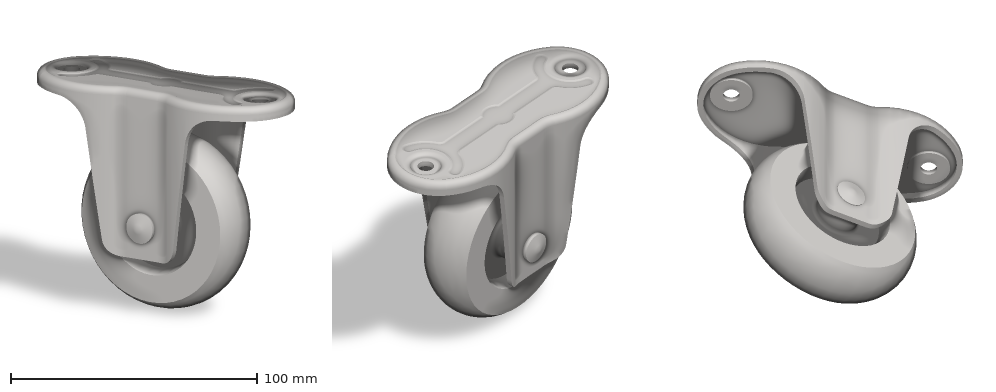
import cadquery as cq
import math

PLATE_HALF_LENGTH = 58.0
PLATE_HALF_WIDTH = 24.0
WAIST_HALF_WIDTH = 18.5
END_RADIUS = 20.9
FLANK_RADIUS = 33.6
NECK_RADIUS = 10.0

WALL = 2.4
SKIRT_HEIGHT = 5.9
TOP_FILLET = 3.0

PANEL_INSET = 3.1
PANEL_DEPTH = 0.3
PANEL_BEVEL = 0.7
HOLE_X = 45.0
HOLE_RADIUS = 3.4
DISH_TOP_RADIUS = 8.7
DISH_FLOOR_RADIUS = 6.1
DISH_DEPTH = 1.3
EMBOSS_DEPTH = 0.3
EMBOSS_BEVEL = 1.0
STRIP_HALF_WIDTH = 4.6
DISC_RADIUS = 7.1
ARM_INNER_RADIUS = 10.1
ARM_OUTER_RADIUS = 15.8
ARM_END_ANGLE = 73.0
ARM_CORNER_RADIUS = 2.3

LEG_BOTTOM_Z = -71.0
LEG_BOTTOM_HALF_WIDTH = 16.0
LEG_TOP_HALF_WIDTH = 25.5
LEG_TOP_RADIUS = 13.9
LEG_CORNER_RADIUS = 8.0

TOTAL_HEIGHT = 95.0
WHEEL_RADIUS = 37.5
WHEEL_Z = WHEEL_RADIUS - TOTAL_HEIGHT
WHEEL_HALF_WIDTH = 11.4
SIDE_RADIUS = 33.0
RECESS_RADIUS = 21.6
RECESS_FLOOR_RADIUS = 19.8
RECESS_DEPTH = 6.5
HUB_RADIUS = 9.4
HUB_HALF_LENGTH = 15.7
HUB_ROOT_FILLET = 1.5
HUB_EDGE_FILLET = 1.0

AXLE_RADIUS = 4.1
HEAD_RADIUS = 6.3
FRONT_RIM_Y = -20.4
FRONT_TIP_Y = -22.5
BACK_RIM_Y = 19.0
BACK_TIP_Y = 20.6

PANEL_Z = -PANEL_DEPTH
DISH_FLOOR_Z = PANEL_Z - DISH_DEPTH


def point_at(center, radius, angle):
    """Point on a circle at an angle in radians."""
    return (center[0] + radius * math.cos(angle), center[1] + radius * math.sin(angle))


def turned(point, sign_x, sign_y):
    """Copy of a point in the quarter given by the two signs."""
    return (sign_x * point[0], sign_y * point[1])


def plate_outline(z, inset=0.0):
    """Closed two-lobed outline at height z, moved inward by inset."""
    end_r = END_RADIUS - inset
    flank_r = FLANK_RADIUS - inset
    neck_r = NECK_RADIUS + inset
    end_c = (PLATE_HALF_LENGTH - END_RADIUS, 0.0)
    flank_y = PLATE_HALF_WIDTH - FLANK_RADIUS
    flank_x = end_c[0] - math.sqrt((FLANK_RADIUS - END_RADIUS) ** 2 - flank_y ** 2)
    neck_y = WAIST_HALF_WIDTH + NECK_RADIUS
    neck_x = flank_x - math.sqrt((FLANK_RADIUS + NECK_RADIUS) ** 2 - (neck_y - flank_y) ** 2)

    end_joint = point_at(end_c, end_r, math.atan2(-flank_y, end_c[0] - flank_x))
    flank_top = (flank_x, flank_y + flank_r)
    to_neck = math.atan2(neck_y - flank_y, neck_x - flank_x)
    flank_joint = point_at((flank_x, flank_y), flank_r, to_neck)
    neck_mid = point_at((neck_x, neck_y), neck_r, (to_neck - math.pi - math.pi / 2) / 2)
    neck_end = (neck_x, neck_y - neck_r)
    end_tip = (end_c[0] + end_r, 0)

    outline = cq.Workplane("XY", origin=(0, 0, z)).moveTo(*turned(end_joint, 1, -1))
    for side in (1, -1):
        outline = (
            outline
            .threePointArc(turned(end_tip, side, side), turned(end_joint, side, side))
            .threePointArc(turned(flank_top, side, side), turned(flank_joint, side, side))
            .threePointArc(turned(neck_mid, side, side), turned(neck_end, side, side))
            .lineTo(*turned(neck_end, -side, side))
            .threePointArc(turned(neck_mid, -side, side), turned(flank_joint, -side, side))
            .threePointArc(turned(flank_top, -side, side), turned(end_joint, -side, side))
        )
    return outline.close()


def emboss_outline(z, inset=0.0):
    """Bone shape at height z: central disc, lengthwise strip and a C-shaped arm round each hole."""
    inner_r = ARM_INNER_RADIUS + inset
    outer_r = ARM_OUTER_RADIUS - inset
    middle_r = (inner_r + outer_r) / 2
    disc_r = DISC_RADIUS - inset
    strip_y = STRIP_HALF_WIDTH - inset
    corner_r = ARM_CORNER_RADIUS + inset

    disc_end = (math.sqrt(disc_r ** 2 - strip_y ** 2), strip_y)
    corner_y = strip_y + corner_r
    corner_x = HOLE_X - math.sqrt((outer_r + corner_r) ** 2 - corner_y ** 2)
    corner_start = (corner_x, strip_y)
    to_hole = math.atan2(-corner_y, HOLE_X - corner_x)
    corner_mid = point_at((corner_x, corner_y), corner_r, (to_hole - math.pi / 2) / 2)
    corner_end = point_at((corner_x, corner_y), corner_r, to_hole)
    hole = (HOLE_X, 0)
    arm_angle = math.pi - math.radians(ARM_END_ANGLE)
    arm_mid = point_at(hole, outer_r, (to_hole + math.pi + arm_angle) / 2)
    arm_outer_end = point_at(hole, outer_r, arm_angle)
    arm_inner_end = point_at(hole, inner_r, arm_angle)
    arm_tip = point_at(point_at(hole, middle_r, arm_angle), (outer_r - inner_r) / 2, arm_angle - math.pi / 2)
    arm_inner_mid = (HOLE_X - inner_r, 0)

    outline = cq.Workplane("XY", origin=(0, 0, z)).moveTo(*disc_end)
    for side in (1, -1):
        outline = (
            outline
            .lineTo(*turned(corner_start, side, side))
            .threePointArc(turned(corner_mid, side, side), turned(corner_end, side, side))
            .threePointArc(turned(arm_mid, side, side), turned(arm_outer_end, side, side))
            .threePointArc(turned(arm_tip, side, side), turned(arm_inner_end, side, side))
            .threePointArc(turned(arm_inner_mid, side, side), turned(arm_inner_end, side, -side))
            .threePointArc(turned(arm_tip, side, -side), turned(arm_outer_end, side, -side))
            .threePointArc(turned(arm_mid, side, -side), turned(corner_end, side, -side))
            .threePointArc(turned(corner_mid, side, -side), turned(corner_start, side, -side))
            .lineTo(*turned(disc_end, side, -side))
            .threePointArc((0, -side * disc_r), turned(disc_end, -side, -side))
        )
    return outline.close()


def sloped_recess(top_outline, floor_outline):
    """Solid between a recess rim and its smaller floor."""
    return cq.Workplane(cq.Solid.makeLoft([top_outline.wires().val(), floor_outline.wires().val()], True))


def panel_recess():
    return sloped_recess(
        plate_outline(0, PANEL_INSET),
        plate_outline(PANEL_Z, PANEL_INSET + PANEL_BEVEL),
    )


def emboss_recess():
    return sloped_recess(
        emboss_outline(PANEL_Z),
        emboss_outline(PANEL_Z - EMBOSS_DEPTH, EMBOSS_BEVEL),
    )


def dish():
    """Screw-head dish whose wall curves down from the panel to a flat floor."""
    wall_width = DISH_TOP_RADIUS - DISH_FLOOR_RADIUS
    wall_radius = (wall_width ** 2 + DISH_DEPTH ** 2) / (2 * DISH_DEPTH)
    return (
        cq.Workplane("XZ")
        .moveTo(0, PANEL_Z)
        .lineTo(DISH_TOP_RADIUS, PANEL_Z)
        .radiusArc((DISH_FLOOR_RADIUS, DISH_FLOOR_Z), -wall_radius)
        .lineTo(0, DISH_FLOOR_Z)
        .close()
        .revolve(360, (0, 0, 0), (0, 1, 0))
    )


def leg_profile():
    """Tapered leg silhouette with flared top, extruded through the whole width."""
    depth = 4 * PLATE_HALF_WIDTH
    top = -SKIRT_HEIGHT
    shoulder = LEG_TOP_HALF_WIDTH + LEG_TOP_RADIUS
    profile = (
        cq.Workplane("XZ", origin=(0, depth / 2, 0))
        .moveTo(-shoulder, 0)
        .lineTo(-shoulder, top)
        .lineTo(-LEG_TOP_HALF_WIDTH, top)
        .lineTo(-LEG_BOTTOM_HALF_WIDTH, LEG_BOTTOM_Z)
        .lineTo(LEG_BOTTOM_HALF_WIDTH, LEG_BOTTOM_Z)
        .lineTo(LEG_TOP_HALF_WIDTH, top)
        .lineTo(shoulder, top)
        .lineTo(shoulder, 0)
        .close()
        .extrude(depth)
    )
    for side in (1, -1):
        flare_edge = cq.selectors.NearestToPointSelector((side * LEG_TOP_HALF_WIDTH, 0, top))
        foot_edge = cq.selectors.NearestToPointSelector((side * LEG_BOTTOM_HALF_WIDTH, 0, LEG_BOTTOM_Z))
        profile = profile.edges(flare_edge).fillet(LEG_TOP_RADIUS)
        profile = profile.edges(foot_edge).fillet(LEG_CORNER_RADIUS)
    return profile


def along_axle(radius, y_start, y_end):
    """Cylinder on the wheel axis between two y positions."""
    return cq.Workplane("XZ", origin=(0, y_start, WHEEL_Z)).circle(radius).extrude(y_start - y_end)


def make_bracket():
    """Hollow sheet plate with a skirt, two legs and the embossed top."""
    plate = plate_outline(0).extrude(-SKIRT_HEIGHT).faces(">Z").edges().fillet(TOP_FILLET)
    legs = plate_outline(-SKIRT_HEIGHT).extrude(LEG_BOTTOM_Z + SKIRT_HEIGHT).intersect(leg_profile())
    hollow_top = PANEL_Z - WALL
    hollow = plate_outline(hollow_top, WALL).extrude(LEG_BOTTOM_Z - hollow_top)
    bracket = plate.union(legs).cut(hollow)
    bracket = bracket.cut(panel_recess()).cut(emboss_recess())
    for side in (1, -1):
        center = (side * HOLE_X, 0, 0)
        pad = cq.Workplane("XY", origin=(0, 0, hollow_top)).circle(DISH_TOP_RADIUS).extrude(-DISH_DEPTH)
        bracket = bracket.union(pad.translate(center))
        bracket = bracket.cut(dish().translate(center))
        bracket = bracket.cut(cq.Workplane("XY").circle(HOLE_RADIUS).extrude(-SKIRT_HEIGHT).translate(center))
    return bracket.cut(along_axle(AXLE_RADIUS, -PLATE_HALF_WIDTH, PLATE_HALF_WIDTH))


def make_wheel():
    """Wheel with a crowned tread, a tapered recess on each side and a long hub."""
    floor_y = WHEEL_HALF_WIDTH - RECESS_DEPTH
    section = (
        cq.Workplane("XY")
        .moveTo(AXLE_RADIUS, -HUB_HALF_LENGTH)
        .lineTo(HUB_RADIUS - HUB_EDGE_FILLET, -HUB_HALF_LENGTH)
        .radiusArc((HUB_RADIUS, -HUB_HALF_LENGTH + HUB_EDGE_FILLET), -HUB_EDGE_FILLET)
        .lineTo(HUB_RADIUS, -floor_y - HUB_ROOT_FILLET)
        .radiusArc((HUB_RADIUS + HUB_ROOT_FILLET, -floor_y), HUB_ROOT_FILLET)
        .lineTo(RECESS_FLOOR_RADIUS, -floor_y)
        .lineTo(RECESS_RADIUS, -WHEEL_HALF_WIDTH)
        .lineTo(SIDE_RADIUS, -WHEEL_HALF_WIDTH)
        .threePointArc((WHEEL_RADIUS, 0), (SIDE_RADIUS, WHEEL_HALF_WIDTH))
        .lineTo(RECESS_RADIUS, WHEEL_HALF_WIDTH)
        .lineTo(RECESS_FLOOR_RADIUS, floor_y)
        .lineTo(HUB_RADIUS + HUB_ROOT_FILLET, floor_y)
        .radiusArc((HUB_RADIUS, floor_y + HUB_ROOT_FILLET), HUB_ROOT_FILLET)
        .lineTo(HUB_RADIUS, HUB_HALF_LENGTH - HUB_EDGE_FILLET)
        .radiusArc((HUB_RADIUS - HUB_EDGE_FILLET, HUB_HALF_LENGTH), -HUB_EDGE_FILLET)
        .lineTo(AXLE_RADIUS, HUB_HALF_LENGTH)
        .close()
    )
    return section.revolve(360, (0, 0, 0), (0, 1, 0)).translate((0, 0, WHEEL_Z))


def make_axle():
    """Shaft with a cone-tipped head outside each leg."""
    return (
        cq.Workplane("XY")
        .moveTo(0, FRONT_TIP_Y)
        .lineTo(HEAD_RADIUS, FRONT_RIM_Y)
        .lineTo(HEAD_RADIUS, -WAIST_HALF_WIDTH)
        .lineTo(AXLE_RADIUS, -WAIST_HALF_WIDTH)
        .lineTo(AXLE_RADIUS, WAIST_HALF_WIDTH)
        .lineTo(HEAD_RADIUS, WAIST_HALF_WIDTH)
        .lineTo(HEAD_RADIUS, BACK_RIM_Y)
        .lineTo(0, BACK_TIP_Y)
        .close()
        .revolve(360, (0, 0, 0), (0, 1, 0))
        .translate((0, 0, WHEEL_Z))
    )


bracket = make_bracket()
wheel = make_wheel()
axle = make_axle()

result = cq.Compound.makeCompound([*bracket.solids().vals(), wheel.val(), axle.val()])